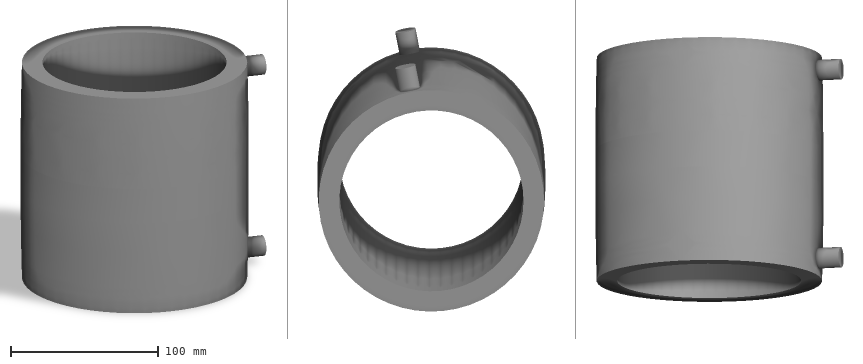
import cadquery as cq
import math

length = 154.0
bore_radius = 62.55
wall_thickness = 15.0
band_radius = bore_radius + wall_thickness
band_height = 25.0

rim_drop = 1.0
rim_radius = band_radius - rim_drop

stub_diameter = 14.0
stub_reach = 92.5
stub_offset = 65.0

half_length = length / 2
half_band = band_height / 2


def barrel_radius(height):
    """Outer radius of the arc that leaves the band tangentially and meets the rim."""
    run = half_length - half_band
    arc_radius = (run**2 + rim_drop**2) / (2 * rim_drop)
    rise = height - half_band
    return band_radius - arc_radius + math.sqrt(arc_radius**2 - rise**2)


def make_sleeve():
    """Revolve the wall section: straight bore, cylindrical band and two barrelled ends."""
    mid_height = (half_band + half_length) / 2
    mid_radius = barrel_radius(mid_height)
    return (
        cq.Workplane("XZ")
        .moveTo(bore_radius, -half_length)
        .lineTo(rim_radius, -half_length)
        .threePointArc((mid_radius, -mid_height), (band_radius, -half_band))
        .lineTo(band_radius, half_band)
        .threePointArc((mid_radius, mid_height), (rim_radius, half_length))
        .lineTo(bore_radius, half_length)
        .close()
        .revolve(360, (0, 0, 0), (0, 1, 0))
    )


def make_stub(height):
    """Round stub along +Y, rooted in the middle of the wall (negative extrusion runs toward +Y)."""
    root = bore_radius + wall_thickness / 2
    return (
        cq.Workplane("XZ", origin=(0, root, height))
        .circle(stub_diameter / 2)
        .extrude(root - stub_reach)
    )


result = make_sleeve()
for stub_height in (-stub_offset, stub_offset):
    result = result.union(make_stub(stub_height))